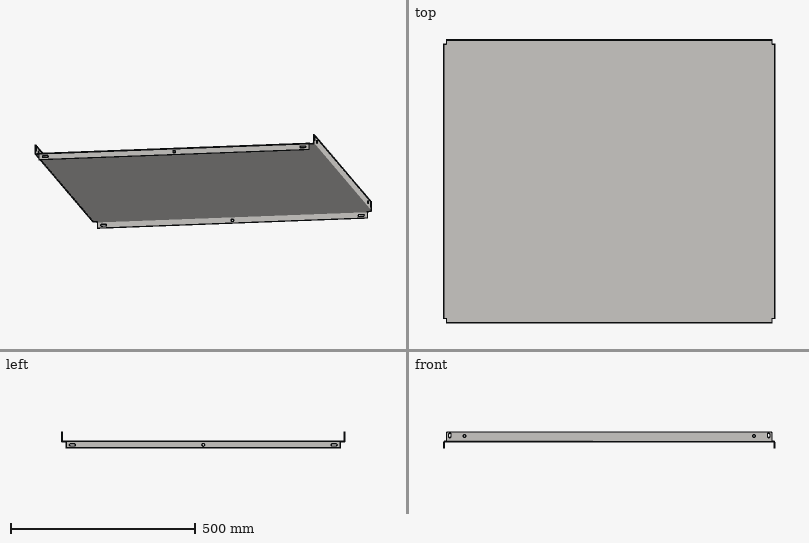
import cadquery as cq

LENGTH_X = 898.0
WIDTH_Y = 769.0
HEIGHT = 43.0

THICKNESS = 2.0
INNER_RADIUS = 1.2
OUTER_RADIUS = INNER_RADIUS + THICKNESS

UP_FLANGE_HEIGHT = 27.0
DOWN_FLANGE_HEIGHT = HEIGHT + THICKNESS - UP_FLANGE_HEIGHT
UP_FLANGE_LENGTH = 884.0
DOWN_FLANGE_LENGTH = 744.5
UP_CORNER_RADIUS = 3.0

UP_SLOT_HEIGHT = 12.0
UP_SLOT_WIDTH = 6.0
UP_SLOT_FROM_END = 9.5
UP_SLOT_BELOW_TOP = 9.5

UP_HOLE_DIAMETER = 7.0
UP_HOLE_SPACING = 786.0
UP_HOLE_BELOW_TOP = 11.0

DOWN_SLOT_LENGTH = 16.0
DOWN_SLOT_HEIGHT = 5.0
DOWN_SLOT_SPACING = 710.0
DOWN_HOLE_DIAMETER = 7.0
DOWN_HOLES_BELOW_PLATE = 10.0

PLATE_TOP = THICKNESS
DOWN_HOLES_Z = PLATE_TOP - DOWN_HOLES_BELOW_PLATE


def channel(plane, half_width, flange_height, length):
    """U-shaped folded sheet centred on plane, with its web along local x and flanges toward local y."""
    inner_half_width = half_width - THICKNESS
    flat_half_width = half_width - OUTER_RADIUS
    return (
        cq.Workplane(plane)
        .moveTo(-flat_half_width, 0)
        .lineTo(flat_half_width, 0)
        .radiusArc((half_width, OUTER_RADIUS), -OUTER_RADIUS)
        .lineTo(half_width, flange_height)
        .lineTo(inner_half_width, flange_height)
        .lineTo(inner_half_width, OUTER_RADIUS)
        .radiusArc((flat_half_width, THICKNESS), INNER_RADIUS)
        .lineTo(-flat_half_width, THICKNESS)
        .radiusArc((-inner_half_width, OUTER_RADIUS), INNER_RADIUS)
        .lineTo(-inner_half_width, flange_height)
        .lineTo(-half_width, flange_height)
        .lineTo(-half_width, OUTER_RADIUS)
        .radiusArc((-flat_half_width, 0), -OUTER_RADIUS)
        .close()
        .extrude(length / 2, both=True)
    )


def mirrored_points(half_spacing, z):
    """Two points at the same height, equally far either side of the middle."""
    return [(-half_spacing, z), (half_spacing, z)]


def up_channel():
    """Plate with the front and back flanges standing up, their upper corners rounded."""
    body = channel("YZ", WIDTH_Y / 2, UP_FLANGE_HEIGHT, UP_FLANGE_LENGTH)
    return body.edges("|Y and >Z").fillet(UP_CORNER_RADIUS)


def down_channel():
    """Plate with the left and right flanges hanging down."""
    upside_down = cq.Plane(origin=(0, 0, PLATE_TOP), xDir=(1, 0, 0), normal=(0, 1, 0))
    return channel(upside_down, LENGTH_X / 2, DOWN_FLANGE_HEIGHT, DOWN_FLANGE_LENGTH)


def up_slots():
    """Upright slot cutters running through both up flanges."""
    half_spacing = UP_FLANGE_LENGTH / 2 - UP_SLOT_FROM_END
    return (
        cq.Workplane("XZ")
        .pushPoints(mirrored_points(half_spacing, UP_FLANGE_HEIGHT - UP_SLOT_BELOW_TOP))
        .slot2D(UP_SLOT_HEIGHT, UP_SLOT_WIDTH, 90)
        .extrude(WIDTH_Y, both=True)
    )


def up_holes():
    """Round hole cutters running through both up flanges."""
    return (
        cq.Workplane("XZ")
        .pushPoints(mirrored_points(UP_HOLE_SPACING / 2, UP_FLANGE_HEIGHT - UP_HOLE_BELOW_TOP))
        .circle(UP_HOLE_DIAMETER / 2)
        .extrude(WIDTH_Y, both=True)
    )


def down_slots():
    """Level slot cutters running through both down flanges."""
    return (
        cq.Workplane("YZ")
        .pushPoints(mirrored_points(DOWN_SLOT_SPACING / 2, DOWN_HOLES_Z))
        .slot2D(DOWN_SLOT_LENGTH, DOWN_SLOT_HEIGHT)
        .extrude(LENGTH_X, both=True)
    )


def down_middle_hole():
    """Round hole cutter running through the middle of both down flanges."""
    return (
        cq.Workplane("YZ")
        .center(0, DOWN_HOLES_Z)
        .circle(DOWN_HOLE_DIAMETER / 2)
        .extrude(LENGTH_X, both=True)
    )


result = up_channel().union(down_channel())
for cutter in (up_slots(), up_holes(), down_slots(), down_middle_hole()):
    result = result.cut(cutter)